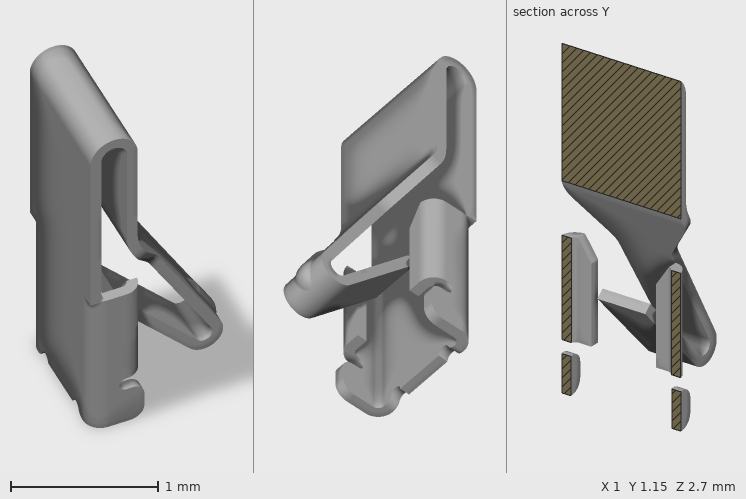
import cadquery as cq
import math

WIDTH = 1.0
HEIGHT = 2.7
DEPTH = 1.15
THICKNESS = 0.08

TOP_BEND_RADIUS = 0.175
KNEE_RADIUS = 0.28
KNEE_HEIGHT = 1.732
LEG_LEAN = 30.0
HEEL_RADIUS = 0.145
RETURN_RISE = 47.0
RETURN_LENGTH = 0.85

NECK_HALF_WIDTH = 0.224
HEEL_HALF_WIDTH = 0.20
SHOULDER_RADIUS = 0.20
SHOULDER_ANGLE = 34.0

RIB_HEIGHT = 0.03
RIB_HALF_WIDTH = 0.085
RIB_ROOT = 0.02
RIB_TURN = 100.0
RIB_LENGTH = 0.215
RIB_RAMP_ANGLE = 15.0
RIB_FILLET = 0.025

WALL_HEIGHT = 1.2
WALL_DEPTH = 0.4
WALL_BEND_RADIUS = 0.13
SLOT_BOTTOM = 0.302
SLOT_TOP = 0.405
SLOT_FLOOR = 0.215
TAB_UPPER_RADIUS = 0.085
TAB_LOWER_RADIUS = 0.10
LIP_END = 0.27
LIP_SLOPE_START = 0.38
LIP_DROP = 0.165

TONGUE_HALF_WIDTH = 0.20
TONGUE_RECESS = 0.035
NOTCH_RADIUS = 0.05
NOTCH_FLARE_RADIUS = 0.07

HALF_WIDTH = WIDTH / 2
REAR_FACE = 2 * TOP_BEND_RADIUS
LEAN = math.radians(LEG_LEAN)
RISE = math.radians(RETURN_RISE)
LEG_CUT_DEPTH = 1.5 * THICKNESS
LEG_DIRECTION = (math.sin(LEAN), -math.cos(LEAN))
LEG_NORMAL = (math.cos(LEAN), math.sin(LEAN))
RETURN_DIRECTION = (-math.cos(RISE), math.sin(RISE))


def polar(center, radius, angle_degrees):
    angle = math.radians(angle_degrees)
    return (center[0] + radius * math.cos(angle), center[1] + radius * math.sin(angle))


def shifted(point, direction, distance):
    return (point[0] + distance * direction[0], point[1] + distance * direction[1])


TOP_CENTER = (TOP_BEND_RADIUS, HEIGHT - TOP_BEND_RADIUS)
KNEE_CENTER = (REAR_FACE + KNEE_RADIUS, KNEE_HEIGHT)
KNEE_END_ANGLE = 180 + LEG_LEAN
LEG_START = polar(KNEE_CENTER, KNEE_RADIUS, KNEE_END_ANGLE)
HEEL_Y = DEPTH - HEEL_RADIUS - RIB_HEIGHT * LEG_NORMAL[0]
LEG_LENGTH = (HEEL_Y + HEEL_RADIUS * LEG_NORMAL[0] - LEG_START[0]) / LEG_DIRECTION[0]
LEG_END = shifted(LEG_START, LEG_DIRECTION, LEG_LENGTH)
HEEL_CENTER = shifted(LEG_END, LEG_NORMAL, -HEEL_RADIUS)
HEEL_END_ANGLE = -90 - RETURN_RISE
HEEL_MID_ANGLE = (LEG_LEAN + HEEL_END_ANGLE) / 2


def strip_band():
    """Full-width band: front plate, top bend, leaning leg, heel and return leg."""
    top_inner = TOP_BEND_RADIUS - THICKNESS
    knee_outer = KNEE_RADIUS + THICKNESS
    knee_mid_angle = 180 + LEG_LEAN / 2
    heel_inner = HEEL_RADIUS - THICKNESS
    return_outer = polar(HEEL_CENTER, HEEL_RADIUS, HEEL_END_ANGLE)
    return_inner = polar(HEEL_CENTER, heel_inner, HEEL_END_ANGLE)
    return (
        cq.Workplane("YZ")
        .moveTo(0, 0)
        .lineTo(*polar(TOP_CENTER, TOP_BEND_RADIUS, 180))
        .threePointArc(polar(TOP_CENTER, TOP_BEND_RADIUS, 90), polar(TOP_CENTER, TOP_BEND_RADIUS, 0))
        .lineTo(*polar(KNEE_CENTER, KNEE_RADIUS, 180))
        .threePointArc(polar(KNEE_CENTER, KNEE_RADIUS, knee_mid_angle), LEG_START)
        .lineTo(*LEG_END)
        .threePointArc(polar(HEEL_CENTER, HEEL_RADIUS, HEEL_MID_ANGLE), return_outer)
        .lineTo(*shifted(return_outer, RETURN_DIRECTION, RETURN_LENGTH))
        .lineTo(*shifted(return_inner, RETURN_DIRECTION, RETURN_LENGTH))
        .lineTo(*return_inner)
        .threePointArc(
            polar(HEEL_CENTER, heel_inner, HEEL_MID_ANGLE), polar(HEEL_CENTER, heel_inner, LEG_LEAN)
        )
        .lineTo(*polar(KNEE_CENTER, knee_outer, KNEE_END_ANGLE))
        .threePointArc(
            polar(KNEE_CENTER, knee_outer, knee_mid_angle), polar(KNEE_CENTER, knee_outer, 180)
        )
        .lineTo(*polar(TOP_CENTER, top_inner, 0))
        .threePointArc(polar(TOP_CENTER, top_inner, 90), polar(TOP_CENTER, top_inner, 180))
        .lineTo(THICKNESS, 0)
        .close()
        .extrude(HALF_WIDTH, both=True)
    )


def leg_plane():
    """Plane on the outer leg face: local x along the width, local y down the leg."""
    return cq.Plane(origin=(0, *LEG_START), xDir=(1, 0, 0), normal=(0, *LEG_NORMAL))


def leg_side_waste(side):
    """Material beside the leg, outside its shoulder and slight taper."""
    angle = math.radians(SHOULDER_ANGLE)
    drop = SHOULDER_RADIUS * (1 - math.cos(angle))
    run = SHOULDER_RADIUS * math.sin(angle)
    half_drop = SHOULDER_RADIUS * (1 - math.cos(angle / 2))
    half_run = SHOULDER_RADIUS * math.sin(angle / 2)
    slope_run = (HALF_WIDTH - NECK_HALF_WIDTH - 2 * drop) / math.tan(angle)
    neck_start = 2 * run + slope_run
    return (
        cq.Workplane(leg_plane())
        .moveTo(side * HALF_WIDTH, 0)
        .threePointArc((side * (HALF_WIDTH - half_drop), half_run), (side * (HALF_WIDTH - drop), run))
        .lineTo(side * (NECK_HALF_WIDTH + drop), run + slope_run)
        .threePointArc(
            (side * (NECK_HALF_WIDTH + half_drop), neck_start - half_run),
            (side * NECK_HALF_WIDTH, neck_start),
        )
        .lineTo(side * HEEL_HALF_WIDTH, LEG_LENGTH)
        .lineTo(side * WIDTH, LEG_LENGTH)
        .lineTo(side * WIDTH, 0)
        .close()
        .extrude(-LEG_CUT_DEPTH)
    )


def heel_side_waste(side):
    """Material beside the heel bend and the return leg."""
    beyond_heel = shifted(LEG_END, LEG_NORMAL, HEEL_RADIUS)
    return (
        cq.Workplane("YZ", origin=(side * HEEL_HALF_WIDTH, 0, 0))
        .moveTo(*HEEL_CENTER)
        .lineTo(*beyond_heel)
        .lineTo(beyond_heel[0], 0)
        .lineTo(THICKNESS, 0)
        .lineTo(THICKNESS, WALL_HEIGHT)
        .close()
        .extrude(side * WIDTH)
    )


def contact_rib():
    """Round-backed rib: a ramp out of the leg, a straight run and a turn around the heel."""
    run_start = shifted(LEG_END, LEG_DIRECTION, -RIB_LENGTH)

    def section(foot):
        up_the_leg = (0, -LEG_DIRECTION[0], -LEG_DIRECTION[1])
        plane = cq.Plane(origin=(0, *foot), xDir=(1, 0, 0), normal=up_the_leg)
        return (
            cq.Workplane(plane)
            .moveTo(-RIB_HALF_WIDTH, -RIB_ROOT)
            .lineTo(-RIB_HALF_WIDTH, 0)
            .threePointArc((0, RIB_HEIGHT), (RIB_HALF_WIDTH, 0))
            .lineTo(RIB_HALF_WIDTH, -RIB_ROOT)
            .close()
        )

    ramp_run = RIB_HEIGHT / math.tan(math.radians(RIB_RAMP_ANGLE))
    ramp_path = shifted(shifted((0, 0), LEG_DIRECTION, -ramp_run), LEG_NORMAL, -RIB_HEIGHT)
    ramp_wire = section(run_start).wire().val()
    ramp = cq.Solid.extrudeLinear(ramp_wire, [], cq.Vector(0, *ramp_path))
    run = section(LEG_END).extrude(RIB_LENGTH)
    turn_axis = RIB_HEIGHT - HEEL_RADIUS
    turn = section(LEG_END).revolve(RIB_TURN, (1, turn_axis), (-1, turn_axis))
    return run.union(cq.Workplane(ramp)).union(turn)


def rib_region():
    """Selector for edges in the narrow band around the rib, behind the side walls."""
    half_band = RIB_HALF_WIDTH + RIB_HEIGHT
    low_corner = (-half_band, WALL_DEPTH, 0)
    high_corner = (half_band, DEPTH + RIB_HEIGHT, KNEE_HEIGHT)
    return cq.selectors.BoxSelector(low_corner, high_corner, boundingbox=True)


def front_corner_waste(side):
    """Square edge of the front plate where the wall bend replaces it."""
    center_x = side * (HALF_WIDTH - WALL_BEND_RADIUS / 2)
    return (
        cq.Workplane("XY")
        .box(WALL_BEND_RADIUS, THICKNESS, WALL_HEIGHT, centered=(True, False, False))
        .translate((center_x, 0, 0))
    )


def side_wall():
    """Wall wrapped back from the right edge of the front plate, with its tab, slot and lip."""
    bend_x = HALF_WIDTH - WALL_BEND_RADIUS
    inner_x = HALF_WIDTH - THICKNESS
    inner_radius = WALL_BEND_RADIUS - THICKNESS
    front_center = (bend_x, WALL_BEND_RADIUS)
    rear_center = (bend_x, WALL_DEPTH - WALL_BEND_RADIUS)

    wall = (
        cq.Workplane("XY")
        .moveTo(bend_x, 0)
        .threePointArc(polar(front_center, WALL_BEND_RADIUS, -45), (HALF_WIDTH, WALL_BEND_RADIUS))
        .lineTo(HALF_WIDTH, WALL_DEPTH)
        .lineTo(inner_x, WALL_DEPTH)
        .lineTo(inner_x, WALL_BEND_RADIUS)
        .threePointArc(polar(front_center, inner_radius, -45), (bend_x, THICKNESS))
        .close()
        .extrude(WALL_HEIGHT)
    )
    lip_room = (
        cq.Workplane("XY")
        .box(HALF_WIDTH, WALL_BEND_RADIUS, WALL_HEIGHT - SLOT_BOTTOM, centered=False)
        .translate((0, rear_center[1], SLOT_BOTTOM))
    )
    lip = (
        cq.Workplane("XY", origin=(0, 0, SLOT_TOP))
        .moveTo(HALF_WIDTH, rear_center[1])
        .threePointArc(polar(rear_center, WALL_BEND_RADIUS, 45), (bend_x, WALL_DEPTH))
        .lineTo(LIP_END, WALL_DEPTH)
        .lineTo(LIP_END, WALL_DEPTH - THICKNESS)
        .lineTo(bend_x, WALL_DEPTH - THICKNESS)
        .threePointArc(polar(rear_center, inner_radius, 45), (inner_x, rear_center[1]))
        .close()
        .extrude(WALL_HEIGHT - SLOT_TOP)
    )
    lip_outline = (
        cq.Workplane("XZ")
        .moveTo(HALF_WIDTH, SLOT_TOP)
        .lineTo(HALF_WIDTH, WALL_HEIGHT)
        .lineTo(LIP_SLOPE_START, WALL_HEIGHT)
        .lineTo(LIP_END, WALL_HEIGHT - LIP_DROP)
        .lineTo(LIP_END, SLOT_TOP)
        .close()
        .extrude(-WALL_DEPTH)
    )
    lip = lip.intersect(lip_outline)
    slot_radius = (SLOT_TOP - SLOT_BOTTOM) / 2
    slot_end = (SLOT_FLOOR + slot_radius, SLOT_BOTTOM + slot_radius)
    slot = (
        cq.Workplane("YZ")
        .moveTo(WALL_DEPTH, SLOT_BOTTOM)
        .lineTo(slot_end[0], SLOT_BOTTOM)
        .threePointArc((SLOT_FLOOR, slot_end[1]), (slot_end[0], SLOT_TOP))
        .lineTo(WALL_DEPTH, SLOT_TOP)
        .close()
        .extrude(WIDTH)
    )
    wall = wall.cut(lip_room).union(lip).cut(slot)
    tab_lower = cq.selectors.NearestToPointSelector((HALF_WIDTH, WALL_DEPTH, 0))
    tab_upper = cq.selectors.NearestToPointSelector((HALF_WIDTH, WALL_DEPTH, SLOT_BOTTOM))
    wall = wall.edges("|X").edges(tab_lower).fillet(TAB_LOWER_RADIUS)
    return wall.edges("|X").edges(tab_upper).fillet(TAB_UPPER_RADIUS)


def bottom_edge_waste():
    """Cut along the lower edge of the front plate: recessed tongue between two round notches."""
    notch_x = TONGUE_HALF_WIDTH + NOTCH_RADIUS
    notch_center = (notch_x, TONGUE_RECESS)
    flare_rise = NOTCH_FLARE_RADIUS - TONGUE_RECESS
    flare_x = notch_x + math.sqrt((NOTCH_RADIUS + NOTCH_FLARE_RADIUS) ** 2 - flare_rise**2)
    flare_center = (flare_x, NOTCH_FLARE_RADIUS)
    meet_angle = math.degrees(math.atan2(flare_rise, flare_x - notch_x))
    meet = polar(notch_center, NOTCH_RADIUS, meet_angle)
    flare_mid = polar(flare_center, NOTCH_FLARE_RADIUS, (180 + meet_angle + 270) / 2)
    return (
        cq.Workplane("XZ")
        .moveTo(0, TONGUE_RECESS)
        .lineTo(TONGUE_HALF_WIDTH, TONGUE_RECESS)
        .threePointArc((notch_x, TONGUE_RECESS + NOTCH_RADIUS), meet)
        .threePointArc(flare_mid, (flare_x, 0))
        .lineTo(0, 0)
        .close()
        .extrude(-THICKNESS)
    )


result = strip_band()
for side in (-1, 1):
    result = result.cut(leg_side_waste(side)).cut(heel_side_waste(side)).cut(front_corner_waste(side))

right_wall = side_wall()
result = result.union(right_wall).union(right_wall.mirror("YZ"))
bottom_edge = bottom_edge_waste()
result = result.cut(bottom_edge).cut(bottom_edge.mirror("YZ"))
result = result.union(contact_rib())
result = result.edges(rib_region()).edges("not %CIRCLE").fillet(RIB_FILLET)